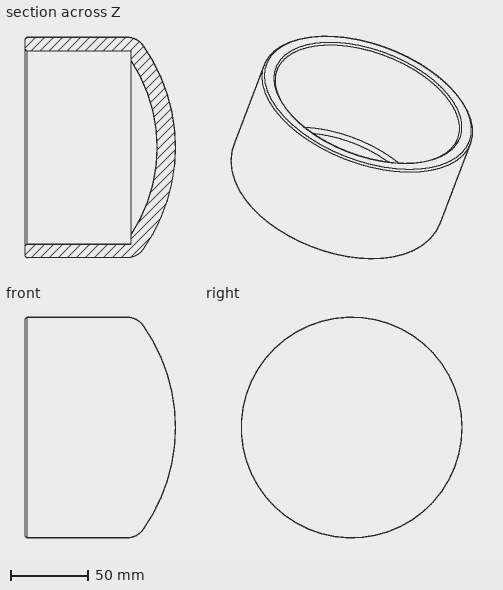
import cadquery as cq
import math

outer_radius = 71.5
bore_radius = 125.0 / 2
total_length = 97.5
straight_length = 66.0
shoulder_radius = 12.9
bore_depth = 68.6
recess_radius = 56.3
rim_chamfer = 1.3

shoulder_center_y = outer_radius - shoulder_radius
apex_offset = total_length - straight_length
dome_radius = (
    (apex_offset**2 + shoulder_center_y**2 - shoulder_radius**2)
    / (2 * (apex_offset - shoulder_radius))
)
dome_center_x = total_length - dome_radius

tangent_angle = math.asin(shoulder_center_y / (dome_radius - shoulder_radius))
tangent_x = dome_center_x + dome_radius * math.cos(tangent_angle)
tangent_y = dome_radius * math.sin(tangent_angle)

inner_dome_radius = math.hypot(bore_depth - dome_center_x, recess_radius)
inner_apex_x = dome_center_x + inner_dome_radius


def arc_middle(center_x, center_y, radius, angle):
    """Point on an arc at the given angle from the +X axis."""
    return (center_x + radius * math.cos(angle), center_y + radius * math.sin(angle))


shoulder_middle = arc_middle(
    straight_length, shoulder_center_y, shoulder_radius, (tangent_angle + math.pi / 2) / 2
)
dome_middle = arc_middle(dome_center_x, 0, dome_radius, tangent_angle / 2)
inner_dome_angle = math.asin(recess_radius / inner_dome_radius)
inner_dome_middle = arc_middle(dome_center_x, 0, inner_dome_radius, inner_dome_angle / 2)

half_section = (
    cq.Workplane("XY")
    .moveTo(0, bore_radius + rim_chamfer)
    .lineTo(0, outer_radius - rim_chamfer)
    .lineTo(rim_chamfer, outer_radius)
    .lineTo(straight_length, outer_radius)
    .threePointArc(shoulder_middle, (tangent_x, tangent_y))
    .threePointArc(dome_middle, (total_length, 0))
    .lineTo(inner_apex_x, 0)
    .threePointArc(inner_dome_middle, (bore_depth, recess_radius))
    .lineTo(bore_depth, bore_radius)
    .lineTo(rim_chamfer, bore_radius)
    .close()
)

result = half_section.revolve(360, (0, 0, 0), (1, 0, 0))